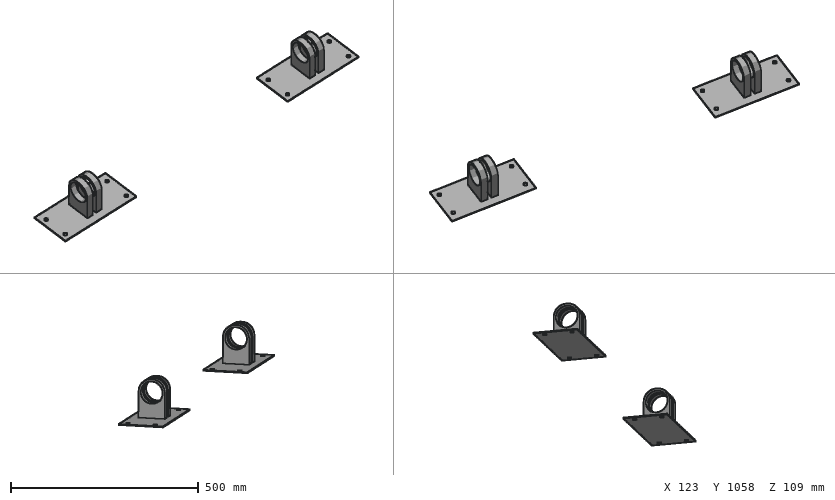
import cadquery as cq

total_length = 1058.0
plate_length = 256.0
bracket_offset = (total_length - plate_length) / 2

plate_width = 123.0
plate_thickness = 3.0

mount_hole_diameter = 10.0
mount_hole_spacing_x = 76.0
mount_hole_spacing_y = 220.0
mount_hole_shift_x = 3.0

total_height = 109.0
lug_width = 73.0
lug_thickness = 20.0
lug_pitch = 32.0
corner_radius = 35.0
bore_diameter = 60.0
bore_wall = (lug_width - bore_diameter) / 2
bore_height = total_height - bore_wall - bore_diameter / 2


def make_plate():
    """Base plate with its lower face on Z = 0 and four through holes."""
    plate = cq.Workplane("XY").box(
        plate_width, plate_length, plate_thickness, centered=(True, True, False)
    )
    holes = (
        cq.Workplane("XY")
        .center(mount_hole_shift_x, 0)
        .rect(mount_hole_spacing_x, mount_hole_spacing_y, forConstruction=True)
        .vertices()
        .circle(mount_hole_diameter / 2)
        .extrude(plate_thickness)
    )
    return plate.cut(holes)


def make_lug(center_y):
    """Round-topped lug rising from the plate, bored through along Y."""
    section = cq.Workplane("XZ", origin=(0, center_y + lug_thickness / 2, 0))
    block = (
        section.center(0, plate_thickness)
        .rect(lug_width, total_height - plate_thickness, centered=(True, False))
        .extrude(lug_thickness)
    )
    rounded_block = block.edges("|Y and >Z").fillet(corner_radius)
    bore = (
        cq.Workplane("XZ", origin=(0, center_y + lug_thickness / 2, bore_height))
        .circle(bore_diameter / 2)
        .extrude(lug_thickness)
    )
    return rounded_block.cut(bore)


def make_bracket():
    """One bracket: a base plate carrying a pair of lugs."""
    bracket = make_plate()
    for side in (-1, 1):
        bracket = bracket.union(make_lug(side * lug_pitch / 2))
    return bracket


brackets = []
for end in (-1, 1):
    bracket = make_bracket().translate((0, end * bracket_offset, 0))
    brackets.append(bracket.val())

result = cq.Compound.makeCompound(brackets)